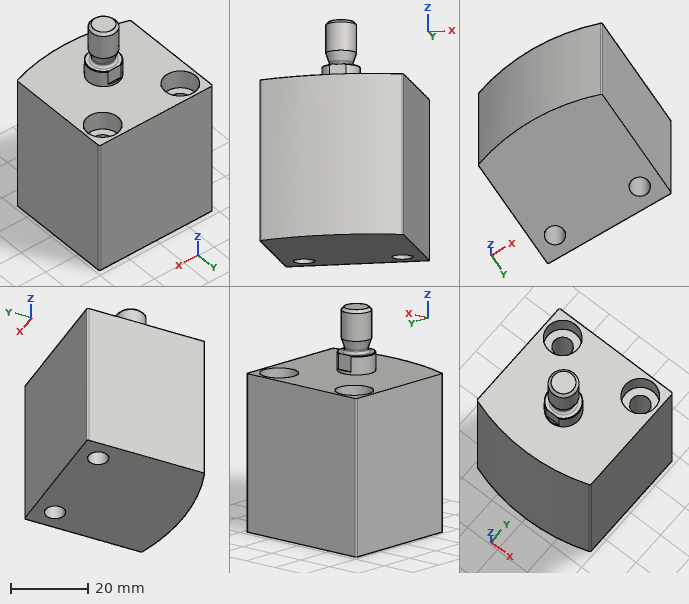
import cadquery as cq
import math


housing_width = 38.0
housing_height = 42.5
back_y = 21.5
front_y = -15.5
front_corner_y = -12.2
corner_radius = 0.5

hole_x = 13.0
hole_y = 15.5
hole_diameter = 5.5
counterbore_diameter = 10.0
counterbore_depth = 5.7

collar_diameter = 10.0
collar_height = 5.0
collar_chamfer = 0.2
flat_width = 9.0
flat_base_height = 0.75
neck_diameter = 6.2
neck_fillet = 0.7
neck_length = 0.3
stud_diameter = 8.0
taper_angle = math.radians(19)
stud_chamfer = 0.8
rod_height = 17.0


def make_housing():
    """Block with a bowed front face and two counterbored through holes."""
    half_width = housing_width / 2
    block = (
        cq.Workplane("XY")
        .moveTo(-half_width, back_y)
        .lineTo(-half_width, front_corner_y)
        .threePointArc((0, front_y), (half_width, front_corner_y))
        .lineTo(half_width, back_y)
        .close()
        .extrude(housing_height)
        .edges("|Z")
        .fillet(corner_radius)
    )
    return (
        block.faces(">Z")
        .workplane(origin=(0, 0, housing_height))
        .pushPoints([(-hole_x, hole_y), (hole_x, hole_y)])
        .cboreHole(hole_diameter, counterbore_diameter, counterbore_depth)
    )


def make_rod_profile():
    """Turned rod: collar, filleted neck, taper and chamfered stud."""
    collar_radius = collar_diameter / 2
    neck_radius = neck_diameter / 2
    stud_radius = stud_diameter / 2
    neck_base = collar_height + neck_fillet
    neck_top = neck_base + neck_length
    taper_base = neck_top + neck_fillet * math.sin(taper_angle)
    taper_base_radius = neck_radius + neck_fillet * (1 - math.cos(taper_angle))
    taper_top = taper_base + (stud_radius - taper_base_radius) / math.tan(taper_angle)
    stud_shoulder = rod_height - stud_chamfer
    return (
        cq.Workplane("XZ")
        .lineTo(collar_radius, 0)
        .lineTo(collar_radius, collar_height - collar_chamfer)
        .lineTo(collar_radius - collar_chamfer, collar_height)
        .lineTo(neck_radius + neck_fillet, collar_height)
        .tangentArcPoint((neck_radius, neck_base), relative=False)
        .lineTo(neck_radius, neck_top)
        .tangentArcPoint((taper_base_radius, taper_base), relative=False)
        .lineTo(stud_radius, taper_top)
        .lineTo(stud_radius, stud_shoulder)
        .lineTo(stud_radius - stud_chamfer, rod_height)
        .lineTo(0, rod_height)
        .close()
    )


def make_rod():
    """Revolved rod with two wrench flats on the collar, facing -Y and +Y."""
    rod = make_rod_profile().revolve(360, (0, 0, 0), (0, 1, 0))
    flat_height = collar_height - flat_base_height
    for side in (-1, 1):
        flat_cutter = (
            cq.Workplane("XY")
            .workplane(offset=flat_base_height)
            .center(0, side * (flat_width + collar_diameter) / 2)
            .rect(collar_diameter, collar_diameter)
            .extrude(flat_height)
        )
        rod = rod.cut(flat_cutter)
    return rod.translate((0, 0, housing_height))


housing = make_housing()
rod = make_rod()

result = cq.Compound.makeCompound([housing.val(), rod.val()])